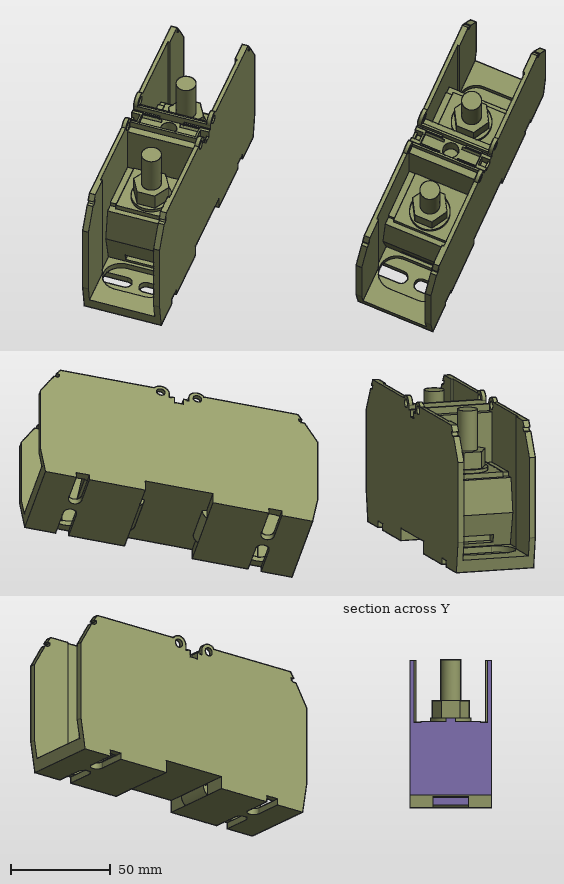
import cadquery as cq
import math


length = 144.0
width = 41.0
half_length = length / 2
half_width = width / 2
wall_top = 74.2
floor_top = 6.5
wall_thick = 3.2
thin_wall = 2.2
thin_wall_end = 50.8
inner_half = half_width - wall_thick
bay_half = half_width - thin_wall

base_half_length = 69.4
flare_top = 16.0
shoulder_z = 57.0

catch_sill_y = 65.1
catch_sill_z = 69.0
catch_arc_start_y = 63.4
catch_arc_mid = (62.5, 69.5)
catch_root_y = 62.0
catch_tip_y = 63.8
catch_tip_z = 71.0
wall_top_end_y = 61.6

lug_y = 9.4
lug_z = 71.7
lug_radius = 4.3
pin_hole_y = 9.5
pin_hole_z = 72.0
pin_hole_radius = 2.2
lug_inner_y = lug_y - lug_radius

pedestal_top = 40.9
pedestal_mid_z = 23.5
pedestal_foot_y = 39.0
pedestal_mid_y = 43.0
pedestal_top_y = 40.2
step_y = 36.1
step_top = 43.0
release_slot_width = 18.0
release_slot_bottom = 8.2
release_slot_height = 4.0
release_slot_inner_y = 34.5

stud_y = 26.2
stud_radius = 5.0
stud_top = 74.5
nut_flats = 16.3
nut_top = 53.9
washer_radius = 10.2
washer_top = 45.2
plate_width = 30.1
plate_top = 43.5
plate_end_y = 37.5

partition_half = 10.1
partition_top = 68.7
rib_outer_y = 6.2
rib_top = 72.1
ledge_top = 69.4
pad_top = 69.8
pad_half = 4.2
bar_top = 67.7
bar_half_length = 15.1
bar_half = 2.6
centre_half = 4.9
corner_notch_end = 6.5
slope_outer_y = 3.6
slope_top = 68.8
centre_hole_radius = 4.0
centre_hole_depth = 8.6

window_half = 2.3
window_inner_x = 16.1
sill_inner_x = 19.3
sill_z = 66.4
window_bottom = 63.4

slot_y = 50.0
slot_width = 6.8
slot_inner_x = 2.0
slot_height = 3.3
recess_radius = 9.2
recess_end_x = 17.0
rail_half = 17.5
rail_height = 6.5
hook_arc_mid = (15.8, 2.0)
hook_tip_y = 15.0
hook_top = 5.8
hook_tip_z = 4.8


def box(x0, x1, y0, y1, z0, z1):
    """Axis-aligned block between the given limits."""
    return cq.Workplane("XY").box(x1 - x0, y1 - y0, z1 - z0, centered=False).translate((x0, y0, z0))


def both_sides(solid):
    """The solid together with its mirror image across the YZ plane."""
    return solid.union(solid.mirror("YZ"))


def extrude_along_x(outline, x0, x1):
    """Extrude a closed YZ outline between two x positions."""
    return outline.extrude(x1 - x0).translate((x0, 0, 0))


def cylinder(y, radius, z0, z1):
    """Upright cylinder on the plane x = 0."""
    return cq.Workplane("XY", origin=(0, y, z0)).circle(radius).extrude(z1 - z0)


def side_outline():
    """Half outline of a side wall, with the cover catch and the hinge lug."""
    lug_end_y = lug_y + math.sqrt(lug_radius**2 - (wall_top - lug_z) ** 2)
    return (
        cq.Workplane("YZ")
        .moveTo(0, 0)
        .lineTo(base_half_length, 0)
        .lineTo(half_length, flare_top)
        .lineTo(half_length, shoulder_z)
        .lineTo(catch_sill_y, catch_sill_z)
        .lineTo(catch_arc_start_y, catch_sill_z)
        .threePointArc(catch_arc_mid, (catch_root_y, catch_tip_z))
        .lineTo(catch_tip_y, catch_tip_z)
        .lineTo(wall_top_end_y, wall_top)
        .lineTo(lug_end_y, wall_top)
        .threePointArc((lug_y, lug_z + lug_radius), (lug_inner_y, lug_z))
        .lineTo(lug_inner_y, ledge_top)
        .lineTo(0, ledge_top)
        .close()
    )


def shell():
    """Floor and side walls, thinner beside the terminals."""
    body = extrude_along_x(side_outline(), -half_width, half_width)
    body = body.cut(box(-inner_half, inner_half, 0, half_length, floor_top, length))
    body = body.cut(box(-bay_half, bay_half, 0, thin_wall_end, floor_top, length))
    pin_hole = cq.Workplane("YZ").center(pin_hole_y, pin_hole_z).circle(pin_hole_radius)
    return body.cut(extrude_along_x(pin_hole, -half_width, half_width))


def pedestal():
    """Block carrying the terminal, with the rail release slot in its lower face."""
    outline = cq.Workplane("YZ").polyline([
        (0, floor_top),
        (pedestal_foot_y, floor_top),
        (pedestal_mid_y, pedestal_mid_z),
        (pedestal_top_y, pedestal_top),
        (step_y, pedestal_top),
        (step_y, step_top),
        (0, step_top),
    ]).close()
    body = extrude_along_x(outline, -bay_half, bay_half)
    slot_half = release_slot_width / 2
    slot_top = release_slot_bottom + release_slot_height
    release_slot = box(
        -slot_half, slot_half, release_slot_inner_y, half_length, release_slot_bottom, slot_top
    )
    return body.cut(release_slot)


def terminal():
    """Contact plate, washer, hexagon nut and threaded stud."""
    plate_half = plate_width / 2
    across_corners = nut_flats / math.cos(math.pi / 6)
    nut = (
        cq.Workplane("XY", origin=(0, stud_y, washer_top))
        .polygon(6, across_corners)
        .extrude(nut_top - washer_top)
    )
    return (
        box(-plate_half, plate_half, 0, plate_end_y, pedestal_top, plate_top)
        .union(cylinder(stud_y, washer_radius, plate_top, washer_top))
        .union(nut)
        .union(cylinder(stud_y, stud_radius, nut_top, stud_top))
    )


def partition():
    """Central cross wall with its upstanding rib and raised end pads."""
    ledge = box(-bay_half, bay_half, 0, lug_inner_y, floor_top, ledge_top)
    shelf = box(-bay_half, bay_half, 0, partition_half, floor_top, partition_top)
    rib = box(-bay_half, bay_half, lug_inner_y, rib_outer_y, floor_top, rib_top)
    pads = both_sides(box(bar_half_length, half_width, 0, pad_half, floor_top, pad_top))
    return shelf.union(ledge).union(rib).union(pads)


def partition_recess():
    """Trough above the centre bar, wider at the centre pad, with the centre hole."""
    middle = box(-bar_half_length, bar_half_length, 0, pad_half, bar_top, rib_top)
    centre = box(-corner_notch_end, corner_notch_end, 0, lug_inner_y, bar_top, rib_top)
    hole = cylinder(0, centre_hole_radius, bar_top - centre_hole_depth, bar_top)
    return middle.union(centre).union(hole)


def trough_slopes():
    """Sloped strips along the bar, rising outward from the bar to the ledge."""
    outline = cq.Workplane("YZ").polyline([
        (bar_half, bar_top),
        (slope_outer_y, slope_top),
        (pad_half, slope_top),
        (pad_half, bar_top),
    ]).close()
    strip = extrude_along_x(outline, centre_half, bar_half_length)
    corner_notch = box(centre_half, corner_notch_end, slope_outer_y, lug_inner_y, bar_top, rib_top)
    return both_sides(strip.cut(corner_notch))


def latch_windows():
    """Pockets in the end pads, open outward above a narrow sill."""
    opening = box(window_inner_x, half_width, 0, window_half, sill_z, pad_top)
    pocket = box(window_inner_x, sill_inner_x, 0, window_half, window_bottom, pad_top)
    return both_sides(opening.union(pocket))


def fixing_slots():
    """Two screw slots open to the sides, below one round-ended recess in the floor."""
    slot_radius = slot_width / 2
    round_x = slot_inner_x + slot_radius
    slot_end = cylinder(slot_y, slot_radius, 0, slot_height).translate((round_x, 0, 0))
    slot = box(round_x, half_width, slot_y - slot_radius, slot_y + slot_radius, 0, slot_height)
    recess = (
        cq.Workplane("XY", origin=(0, slot_y, slot_height))
        .slot2D(2 * recess_end_x, 2 * recess_radius)
        .extrude(floor_top - slot_height)
    )
    return both_sides(slot.union(slot_end)).union(recess)


def rail_hook():
    """Rounded lip that grips the mounting rail, as wide as the release slot."""
    outline = (
        cq.Workplane("YZ")
        .moveTo(rail_half, 0)
        .threePointArc(hook_arc_mid, (hook_tip_y, hook_tip_z))
        .lineTo(rail_half, hook_top)
        .close()
    )
    return extrude_along_x(outline, -release_slot_width / 2, release_slot_width / 2)


half = shell().cut(fixing_slots())
half = half.union(pedestal()).union(terminal()).union(partition())
half = half.cut(partition_recess()).union(trough_slopes()).cut(latch_windows())
half = half.cut(box(-half_width, half_width, 0, rail_half, 0, rail_height)).union(rail_hook())

result = half.union(half.mirror("XZ"))